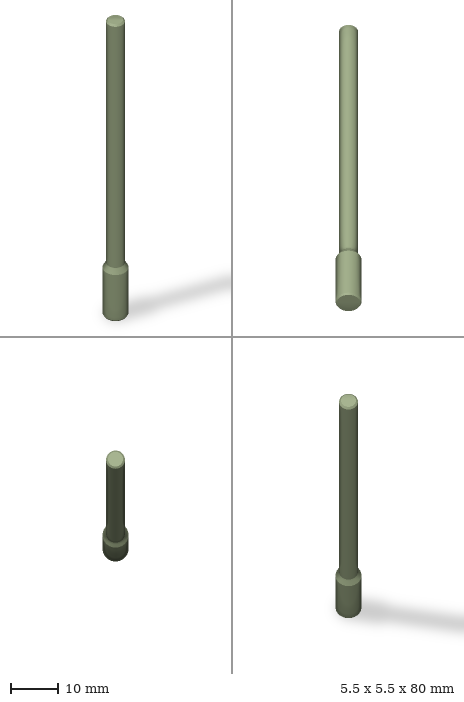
import cadquery as cq

total_length = 80.0
shank_diameter = 4.0
head_diameter = 5.5

head_length = 14.1
shoulder_height = 1.4

shank_chamfer = 0.4
head_chamfer_width = 0.2
head_chamfer_height = 0.4

shank_radius = shank_diameter / 2
head_radius = head_diameter / 2


def make_head():
    """Thick lower end: chamfered at the bottom, with a conical shoulder up to the shank."""
    shoulder_z = head_length - shoulder_height
    profile = (
        cq.Workplane("XZ")
        .lineTo(head_radius - head_chamfer_width, 0)
        .lineTo(head_radius, head_chamfer_height)
        .lineTo(head_radius, shoulder_z)
        .lineTo(shank_radius, head_length)
        .lineTo(0, head_length)
        .close()
    )
    return profile.revolve(360, (0, 0, 0), (0, 1, 0))


def make_shank():
    """Slender rod standing on the head, with a chamfered top end."""
    return (
        cq.Workplane("XY")
        .workplane(offset=head_length)
        .circle(shank_radius)
        .extrude(total_length - head_length)
        .faces(">Z")
        .chamfer(shank_chamfer)
    )


head = make_head()
shank = make_shank()
result = cq.Compound.makeCompound([head.val(), shank.val()])